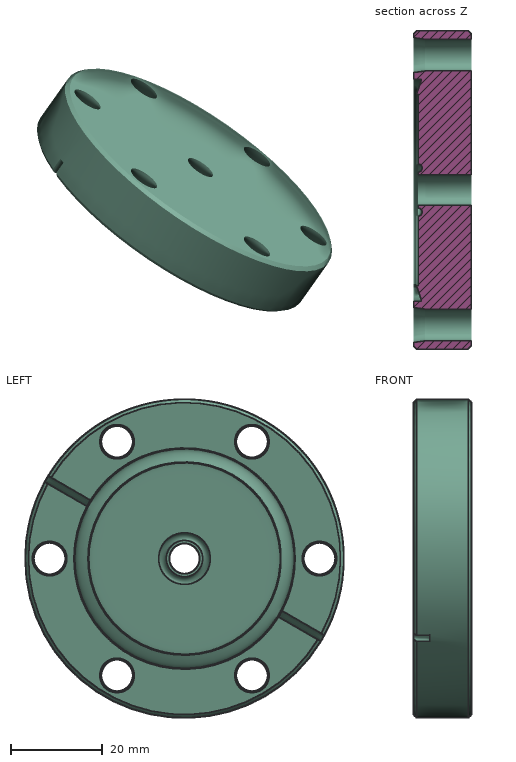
import cadquery as cq

outer_radius = 34.7
thickness = 12.7
rim_chamfer = 0.75

recess_radius = 24.05
recess_depth = 1.65
cone_base_radius = 23.85
knife_radius = 21.0
knife_depth = 0.7
inner_face_radius = 20.8
inner_face_depth = 1.05

bore_radius = 3.25
groove_inner_radius = 3.95
groove_outer_radius = 5.6

bolt_count = 6
bolt_circle_radius = 29.3
bolt_hole_radius = 3.4
bolt_mouth_radius = 3.75
bolt_mouth_depth = 2.6

slot_width = 1.5
slot_depth = 3.6
slot_angle = 30.0


def rod(radius, length):
    """Cylinder along the flange axis, starting at the sealing face."""
    return cq.Workplane("YZ").circle(radius).extrude(length)


def flange_body():
    return rod(outer_radius, thickness).edges().chamfer(rim_chamfer)


def sealing_recess():
    """Recess whose floor rises inward to a narrow flat crest, then drops to the inner face."""
    profile = (
        cq.Workplane("XY")
        .moveTo(0, 0)
        .lineTo(0, recess_radius)
        .lineTo(recess_depth, recess_radius)
        .lineTo(recess_depth, cone_base_radius)
        .lineTo(knife_depth, knife_radius)
        .lineTo(knife_depth, inner_face_radius)
        .lineTo(inner_face_depth, inner_face_radius)
        .lineTo(inner_face_depth, 0)
        .close()
    )
    return profile.revolve(360, (0, 0, 0), (1, 0, 0))


def bore_groove():
    """Half-round ring groove cut into the inner face."""
    groove_radius = (groove_outer_radius - groove_inner_radius) / 2
    center_radius = (groove_outer_radius + groove_inner_radius) / 2
    section = (
        cq.Workplane("XY")
        .moveTo(inner_face_depth, groove_inner_radius)
        .threePointArc(
            (inner_face_depth + groove_radius, center_radius),
            (inner_face_depth, groove_outer_radius),
        )
        .close()
    )
    return section.revolve(360, (0, 0, 0), (1, 0, 0))


def bolt_holes():
    """Ring of through holes that narrow from the sealing face to a straight bore."""
    hole = (
        cq.Workplane("XY")
        .moveTo(0, 0)
        .lineTo(0, bolt_mouth_radius)
        .lineTo(bolt_mouth_depth, bolt_hole_radius)
        .lineTo(thickness, bolt_hole_radius)
        .lineTo(thickness, 0)
        .close()
        .revolve(360, (0, 0, 0), (1, 0, 0))
        .translate((0, bolt_circle_radius, 0))
    )
    holes = cq.Workplane("YZ")
    for index in range(bolt_count):
        holes = holes.add(hole.rotate((0, 0, 0), (1, 0, 0), index * 360 / bolt_count))
    return holes.combine()


def leak_slots():
    """Two opposite radial slots running from the recess wall out through the rim."""
    bar = cq.Workplane("YZ").rect(2 * outer_radius + slot_width, slot_width).extrude(slot_depth)
    slots = bar.cut(rod(recess_radius, slot_depth))
    return slots.rotate((0, 0, 0), (1, 0, 0), slot_angle)


result = (
    flange_body()
    .cut(sealing_recess())
    .cut(bore_groove())
    .cut(rod(bore_radius, thickness))
    .cut(bolt_holes())
    .cut(leak_slots())
)